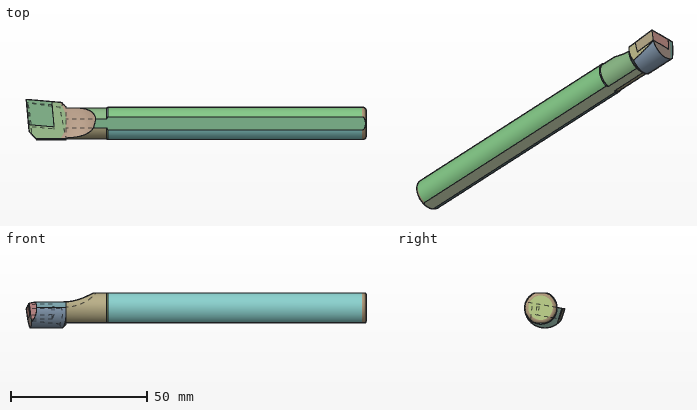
import cadquery as cq
import math

LENGTH = 124.9
SHANK_RADIUS = 6.0
NECK_RADIUS = 5.7
SHANK_START = 30.0
STEP_LENGTH = 0.4
FLAT_HEIGHT = 5.5
END_ROUND = 1.5

HEAD_RADIUS = 7.5
HEAD_CENTER_Y = HEAD_RADIUS - SHANK_RADIUS
HEAD_CENTER_Z = 0.1
HEAD_END = 14.7
HEAD_OVERLAP = 1.5

RAKE_ANGLE = 10.0
RAKE_HEIGHT = 1.2
RELIEF_ANGLE = 7.5
TIP_Y = 8.9
LEAD_ANGLE = 5.0

NOSE_BEVEL_START_Y = -1.7
NOSE_CORNER = (1.19, -3.1)
NOSE_BEVEL_END = (4.0, -6.2)

RECESS_CENTER = (4.0, 0.7)
RECESS_RADIUS = 10.9
FLARE_RADIUS = 15.0
FLARE_ANGLE = 60.0

INSERT_SIDE = 9.5
INSERT_THICKNESS = 4.0
MARGIN = 10.0

slope = math.tan(math.radians(LEAD_ANGLE))
rake_cos = math.cos(math.radians(RAKE_ANGLE))
TIP_V = TIP_Y / rake_cos


def rake_plane():
    """Work plane on the rake face: local x along the bar, local y up the tilted face."""
    tilt = math.radians(RAKE_ANGLE)
    return cq.Workplane(cq.Plane(
        origin=(0, 0, RAKE_HEIGHT),
        xDir=(1, 0, 0),
        normal=(0, math.sin(tilt), math.cos(tilt)),
    ))


def make_bar():
    """Turned neck and shank with flats along the top and bottom and a rounded end."""
    round_center = (LENGTH - END_ROUND, SHANK_RADIUS - END_ROUND)
    diagonal = END_ROUND * math.sqrt(0.5)
    bar = (
        cq.Workplane("XY")
        .moveTo(HEAD_END - HEAD_OVERLAP, 0)
        .lineTo(HEAD_END - HEAD_OVERLAP, NECK_RADIUS)
        .lineTo(SHANK_START - STEP_LENGTH, NECK_RADIUS)
        .lineTo(SHANK_START, SHANK_RADIUS)
        .lineTo(round_center[0], SHANK_RADIUS)
        .threePointArc(
            (round_center[0] + diagonal, round_center[1] + diagonal),
            (LENGTH, round_center[1]),
        )
        .lineTo(LENGTH, 0)
        .close()
        .revolve(360, (0, 0, 0), (1, 0, 0))
    )
    between_flats = cq.Workplane("XY").box(2 * LENGTH + MARGIN, 2 * MARGIN, 2 * FLAT_HEIGHT)
    return bar.intersect(between_flats)


def make_relieved_nose():
    """Block whose front, side and bevels lean inward below the rake face by the relief angle.

    It also runs straight up above the face, where the chip recess trims it.
    """
    far_x = HEAD_END + MARGIN
    far_y = -2 * MARGIN
    bevel_slope = (NOSE_BEVEL_END[1] - NOSE_CORNER[1]) / (NOSE_BEVEL_END[0] - NOSE_CORNER[0])
    outline = [
        (0, TIP_V),
        (slope * (TIP_V - NOSE_BEVEL_START_Y), NOSE_BEVEL_START_Y),
        NOSE_CORNER,
        (NOSE_CORNER[0] + (far_y - NOSE_CORNER[1]) / bevel_slope, far_y),
        (far_x, far_y),
        (far_x, TIP_V - slope * far_x),
    ]
    relieved = rake_plane().polyline(outline).close().extrude(-MARGIN, taper=RELIEF_ANGLE)
    above_rake = rake_plane().polyline(outline).close().extrude(MARGIN)
    return relieved.union(above_rake)


def make_head(nose):
    """Offset cylinder with a back cone and a shank-round upper side, trimmed to the nose."""
    cylinder = cq.Workplane("YZ").center(HEAD_CENTER_Y, HEAD_CENTER_Z).circle(HEAD_RADIUS).extrude(HEAD_END)

    outer_radius = SHANK_RADIUS + MARGIN
    envelope_profile = [
        (0, 0),
        (0, outer_radius),
        (HEAD_END - MARGIN, outer_radius),
        (HEAD_END, SHANK_RADIUS),
        (HEAD_END, 0),
    ]
    envelope = cq.Workplane("XY").polyline(envelope_profile).close().revolve(360, (0, 0, 0), (1, 0, 0))

    upper_side = cq.Workplane("XY").box(HEAD_END, MARGIN, MARGIN, centered=False)
    upper_side = upper_side.translate((0, -MARGIN, HEAD_CENTER_Z))
    outside_shank = upper_side.cut(cq.Workplane("YZ").circle(SHANK_RADIUS).extrude(HEAD_END))

    return cylinder.intersect(envelope).cut(outside_shank).intersect(nose)


def make_recess():
    """Cutting shape for the chip recess, flat below and flaring upward toward the shank."""
    def flare_point(angle):
        turn = math.radians(angle)
        return (RECESS_RADIUS + FLARE_RADIUS * math.sin(turn), FLARE_RADIUS * (1 - math.cos(turn)))

    top = flare_point(FLARE_ANGLE)
    center = rake_plane().center(*RECESS_CENTER).plane
    side = cq.Workplane(cq.Plane(origin=center.origin, xDir=center.xDir, normal=-center.yDir))
    return (
        side.lineTo(RECESS_RADIUS, 0)
        .threePointArc(flare_point(FLARE_ANGLE / 2), top)
        .lineTo(0, top[1])
        .close()
        .revolve(360, (0, 0, 0), (0, 1, 0))
    )


def make_pocket():
    """Square insert seat, turned by the lead angle about the cutting tip."""
    turn = math.radians(LEAD_ANGLE)
    along = (INSERT_SIDE * math.cos(turn), -INSERT_SIDE * math.sin(turn))
    down = (INSERT_SIDE * math.sin(turn), -INSERT_SIDE * math.cos(turn))
    corners = [
        (0, TIP_V),
        (along[0], TIP_V + along[1]),
        (along[0] + down[0], TIP_V + along[1] + down[1]),
        (down[0], TIP_V + down[1]),
    ]
    return rake_plane().polyline(corners).close().extrude(-INSERT_THICKNESS)


nose = make_relieved_nose()
pocket = make_pocket()
holder = make_bar().union(make_head(nose)).cut(make_recess()).cut(pocket)
insert = pocket.intersect(nose)

result = cq.Compound.makeCompound([holder.solids().val(), insert.solids().val()])